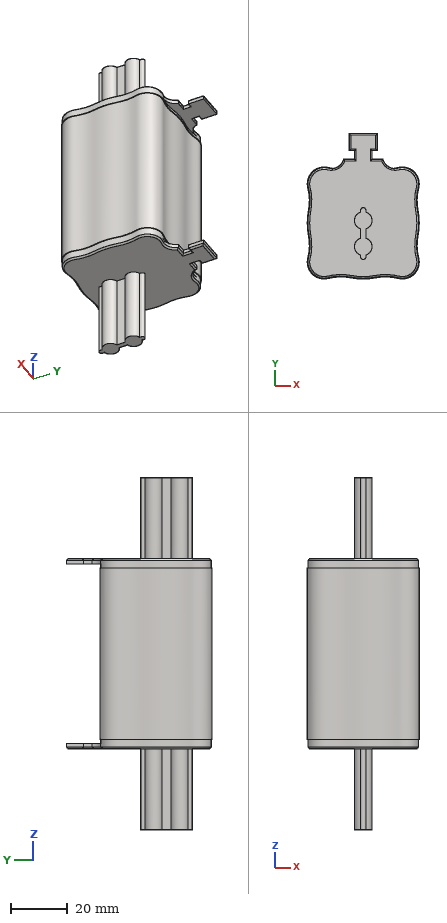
import cadquery as cq
import math

total_height = 124.0

body_half_width = 19.7
corner_radius = 6.0
valley_radius = 17.9
wave_depth = 0.7
body_height = 60.3

plate_inset = 0.2
plate_thickness = 3.3
plate_chamfer = 0.6
lug_thickness = 2.0
notch_radius = 4.5
shoulder_y = 22.5
neck_half_width = 3.1
head_half_width = 5.0
head_start_y = 25.4
head_end_y = 31.5

blade_center_y = -3.7
blade_width = 18.2
web_thickness = 1.9
bar_radius = 3.1
bar_spacing = 9.2

corner_center = body_half_width - corner_radius
corner_valley_sum = corner_radius + valley_radius
corner_to_valley = math.sqrt(2 * corner_valley_sum * wave_depth - wave_depth**2)
valley_x = corner_center - corner_to_valley
crest_valley_sum = (valley_x**2 + wave_depth**2) / (2 * wave_depth)
crest_radius = crest_valley_sum - valley_radius
crest_angle = math.asin(valley_x / crest_valley_sum)
corner_angle = math.asin(corner_to_valley / corner_valley_sum)


def rotate(point, quarter_turns):
    """Turn a point about the Z axis by a number of quarter turns."""
    x, y = point
    for _ in range(quarter_turns):
        x, y = -y, x
    return x, y


def corner_arc_points(inset):
    """Start, middle and end of the +X +Y corner arc, running counter-clockwise."""
    radius = corner_radius - inset
    angles = (-corner_angle, math.pi / 4, math.pi / 2 + corner_angle)
    return [
        (corner_center + radius * math.cos(a), corner_center + radius * math.sin(a))
        for a in angles
    ]


def wave_side_points(inset):
    """Points after the +X +Y corner along the +Y side, up to the next corner."""
    crest = body_half_width - inset
    valley = crest - wave_depth
    radius = crest_radius - inset
    joint_x = radius * math.sin(crest_angle)
    joint_y = crest - radius * (1 - math.cos(crest_angle))
    next_corner_x, next_corner_y = corner_arc_points(inset)[2]
    return [
        (valley_x, valley),
        (joint_x, joint_y),
        (0, crest),
        (-joint_x, joint_y),
        (-valley_x, valley),
        (-next_corner_x, next_corner_y),
    ]


def add_arcs(outline, points):
    """Append one arc for every (middle, end) pair of points."""
    for middle, end in zip(points[::2], points[1::2]):
        outline = outline.threePointArc(middle, end)
    return outline


def add_lug_side(outline, inset):
    """Append the +Y side of a plate: notch, shoulder, T-shaped lug, and back."""
    start_x, start_y = corner_arc_points(inset)[2]
    notch_x = start_x - notch_radius * math.sin(corner_angle)
    notch_y = start_y + notch_radius * math.cos(corner_angle)
    shoulder_x = notch_x - math.sqrt(notch_radius**2 - (notch_y - shoulder_y) ** 2)
    middle_angle = math.radians(225)
    middle_x = notch_x + notch_radius * math.cos(middle_angle)
    middle_y = notch_y + notch_radius * math.sin(middle_angle)
    lug_points = [
        (neck_half_width, shoulder_y),
        (neck_half_width, head_start_y),
        (head_half_width, head_start_y),
        (head_half_width, head_end_y),
    ]
    outline = outline.threePointArc((middle_x, middle_y), (shoulder_x, shoulder_y))
    for x, y in lug_points:
        outline = outline.lineTo(x, y)
    for x, y in reversed(lug_points):
        outline = outline.lineTo(-x, y)
    outline = outline.lineTo(-shoulder_x, shoulder_y)
    return outline.threePointArc((-middle_x, middle_y), (-start_x, start_y))


def wavy_outline(base_z, inset=0.0, with_lug=False):
    """Closed outline of the body or a plate, on a plane at height base_z."""
    start, *corner = corner_arc_points(inset)
    outline = cq.Workplane("XY", origin=(0, 0, base_z)).moveTo(*start)
    for turn in range(4):
        outline = add_arcs(outline, [rotate(p, turn) for p in corner])
        if with_lug and turn == 0:
            outline = add_lug_side(outline, inset)
        else:
            outline = add_arcs(outline, [rotate(p, turn) for p in wave_side_points(inset)])
    return outline.close()


def upper_plate():
    """Upper end plate: a wavy layer topped by a chamfered layer carrying the lug."""
    plate_bottom = body_height / 2
    lug_bottom = plate_bottom + plate_thickness - lug_thickness
    lower_layer = wavy_outline(plate_bottom, plate_inset).extrude(plate_thickness - lug_thickness)
    lug_layer = wavy_outline(lug_bottom, plate_inset, with_lug=True).extrude(lug_thickness)
    lug_layer = lug_layer.faces(">Z").edges().chamfer(plate_chamfer)
    return lower_layer.union(lug_layer)


def contact_blade():
    """Blade running through the whole height, projecting beyond both plates."""
    base = cq.Workplane("XY", origin=(0, blade_center_y, -total_height / 2))
    web = base.slot2D(blade_width, web_thickness, 90).extrude(total_height)
    bar_places = [(0, -bar_spacing / 2), (0, bar_spacing / 2)]
    bars = base.pushPoints(bar_places).circle(bar_radius).extrude(total_height)
    return web.union(bars)


body = wavy_outline(-body_height / 2).extrude(body_height)
plate = upper_plate()
result = body.union(plate).union(plate.mirror("XY")).union(contact_blade())